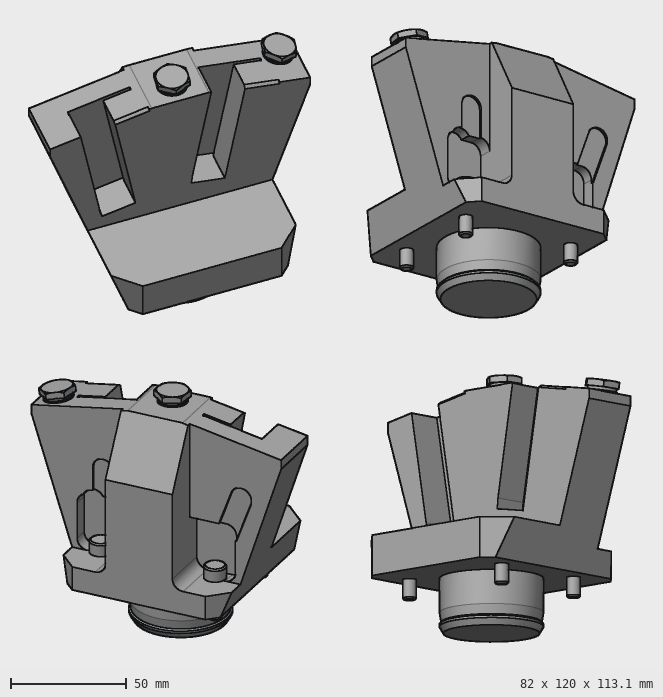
import cadquery as cq
import math

BASE_LENGTH = 82.0
BASE_HEIGHT = 17.8
BASE_HALF_WIDTH = 36.8
CORNER_REACH = 73.0

WALL_BACK_X = -24.0
WALL_FRONT_X = 1.9
TOP_Z = 83.9
TOP_FLAT_HALF_WIDTH = 13.2
ROOF_ANGLE = 10
SIDE_ANGLE = 18
OUTER_HALF_WIDTH = 60.0

LEDGE_Z = 11.2
RIB_WIDTH = 32.2
RIB_ROOT_RADIUS = 5.0
RIB_TOP_BACK_X = -25.5
RIB_SLOPE_START_Z = 56.9

POCKET_WIDTH = 22.0
POCKET_TOP_Z = 38.3
POCKET_DEPTH = 6.8
POCKET_LOBE_Y = 30.5
POCKET_LOBE_Z = 35.8
GROOVE_WIDTH = 10.1
GROOVE_DEPTH = 1.2
STRAIGHT_GROOVE_Y = 25.5
STRAIGHT_GROOVE_END_Z = 51.8
TILTED_GROOVE_Y = -40.7
TILTED_GROOVE_END_Z = 52.7
TILTED_GROOVE_ANGLE = -20

SLOT_STARTS = {1: 1.2, -1: -33.1}
SLOT_LENGTH = 28.9
SLOT_BACK_X = -13.8
SLOT_DEPTH = 54.7
SLOT_TAPER_HEIGHT = 4.8
SLOT_TAPER_WIDTH = 0.4
BLOCK_OFFSET = 16.0
BLOCK_BACK_X = -12.4
BEVEL_END_OFFSET = 32.0
BEVEL_WIDTH = 1.5
BEVEL_DROP = 1.1

SHANK_DIAMETER = 45.0
SHANK_LENGTH = 24.0
SHANK_STRAIGHT = 14.9
SHANK_NECK_START = 19.3
SHANK_NECK_RADIUS = 21.7
SHANK_BEAD_TOP = 20.0
SHANK_BEAD_BOTTOM = 21.1
SHANK_END_RADIUS = 20.8

SCREW_X = 22.5
SCREW_Y = 27.5
SCREW_DIAMETER = 6.0
SCREW_PROTRUSION = 8.8
SCREW_HEAD_DIAMETER = 10.0
SCREW_HEAD_HEIGHT = 6.0
SCREW_CHAMFER = 0.7

HEX_FLATS = 14.0
HEX_HEIGHT = 3.0
HEX_CHAMFER_HEIGHT = 0.5
HEX_NECK_DIAMETER = 12.6
HEX_NECK_HEIGHT = 2.2
HEX_COLLAR_DIAMETER = 13.5
HEX_COLLAR_HEIGHT = 0.7
CENTRE_HEX_X = -8.0
CENTRE_HEX_TURN = -7
SIDE_HEX_X = -14.9
SIDE_HEX_DISTANCE = 38.8
SIDE_HEX_TURN = -12

HALF_LENGTH = BASE_LENGTH / 2


def block(x_range, y_range, z_range):
    """Box between the given limits."""
    (x0, x1), (y0, y1), (z0, z1) = x_range, y_range, z_range
    return cq.Workplane("XY").box(x1 - x0, y1 - y0, z1 - z0, centered=False).translate((x0, y0, z0))


def place_on_roof(shape, side):
    """Move a shape from the origin to a roof ridge, with its Z axis normal to the roof face."""
    tilted = shape.rotate((0, 0, 0), (1, 0, 0), -side * ROOF_ANGLE)
    return tilted.translate((0, side * TOP_FLAT_HALF_WIDTH, TOP_Z))


def body():
    """Base, wall and rib: the end outline crossed with the side outline."""
    side_top_z = (OUTER_HALF_WIDTH - BASE_HALF_WIDTH) / math.tan(math.radians(SIDE_ANGLE))
    roof_run = OUTER_HALF_WIDTH - TOP_FLAT_HALF_WIDTH
    eave_z = TOP_Z - roof_run * math.tan(math.radians(ROOF_ANGLE))
    half_outline = [
        (BASE_HALF_WIDTH, 0),
        (OUTER_HALF_WIDTH, side_top_z),
        (OUTER_HALF_WIDTH, eave_z),
        (TOP_FLAT_HALF_WIDTH, TOP_Z),
    ]
    mirrored_half = [(-y, z) for y, z in reversed(half_outline)]
    end_prism = cq.Workplane("YZ").polyline(half_outline + mirrored_half).close()
    end_prism = end_prism.extrude(HALF_LENGTH, both=True)
    side_outline = [
        (-HALF_LENGTH, 0),
        (HALF_LENGTH, 0),
        (HALF_LENGTH, BASE_HEIGHT),
        (WALL_FRONT_X, BASE_HEIGHT),
        (WALL_FRONT_X, TOP_Z),
        (RIB_TOP_BACK_X, TOP_Z),
        (-HALF_LENGTH, RIB_SLOPE_START_Z),
    ]
    side_prism = cq.Workplane("XZ").polyline(side_outline).close().extrude(OUTER_HALF_WIDTH, both=True)
    return end_prism.intersect(side_prism)


def rib_clearance(side):
    """Space beside the rib, rounded where the rib meets the ledge."""
    inner, outer = sorted((side * RIB_WIDTH / 2, side * OUTER_HALF_WIDTH))
    space = block((-HALF_LENGTH, WALL_BACK_X), (inner, outer), (LEDGE_Z, TOP_Z))
    root = "<Y" if side > 0 else ">Y"
    return space.edges("|X").edges("<Z").edges(root).fillet(RIB_ROOT_RADIUS)


def corner_bevels():
    """Upright bevels at the four corners of the base."""
    leg = HALF_LENGTH + OUTER_HALF_WIDTH - CORNER_REACH
    triangle = [
        (HALF_LENGTH, OUTER_HALF_WIDTH),
        (HALF_LENGTH - leg, OUTER_HALF_WIDTH),
        (HALF_LENGTH, OUTER_HALF_WIDTH - leg),
    ]
    front_corner = cq.Workplane("XY").polyline(triangle).close().extrude(BASE_HEIGHT)
    rear_corner = front_corner.mirror("YZ").intersect(
        block((-HALF_LENGTH, WALL_BACK_X), (0, OUTER_HALF_WIDTH), (0, LEDGE_Z))
    )
    pair = front_corner.add(rear_corner).combine()
    return pair.add(pair.mirror("XZ")).combine()


def back_pocket(side):
    """Rounded screw pocket in the back of the wall; the -Y one has a square upper corner at the rib."""
    inner, outer = sorted((side * RIB_WIDTH / 2, side * (RIB_WIDTH / 2 + POCKET_WIDTH)))
    depth_x = (WALL_BACK_X, WALL_BACK_X + POCKET_DEPTH)
    pocket = block(depth_x, (inner, outer), (LEDGE_Z, POCKET_TOP_Z))
    pocket = pocket.edges("|X").fillet(RIB_ROOT_RADIUS)
    if side < 0:
        corner_y = (-RIB_WIDTH / 2 - RIB_ROOT_RADIUS, -RIB_WIDTH / 2)
        corner_z = (POCKET_TOP_Z - RIB_ROOT_RADIUS, POCKET_TOP_Z)
        pocket = pocket.union(block(depth_x, corner_y, corner_z))
    return pocket


def pocket_lobe():
    """Round enlargement at the top of the +Y pocket."""
    plane = cq.Workplane("YZ", origin=(WALL_BACK_X, POCKET_LOBE_Y, POCKET_LOBE_Z))
    return plane.circle(RIB_ROOT_RADIUS).extrude(POCKET_DEPTH)


def access_groove(end_y, end_z, angle):
    """Shallow round-ended groove running down into a pocket; end_y, end_z is its round's centre."""
    length = (end_z - POCKET_TOP_Z + RIB_ROOT_RADIUS) / math.cos(math.radians(angle))
    plane = cq.Workplane("YZ", origin=(WALL_BACK_X, end_y, end_z))
    strip = plane.center(0, -length / 2).rect(GROOVE_WIDTH, length).extrude(GROOVE_DEPTH)
    groove = strip.union(plane.circle(GROOVE_WIDTH / 2).extrude(GROOVE_DEPTH))
    return groove.rotate((0, end_y, end_z), (1, end_y, end_z), -angle)


def tool_slot(side):
    """Slot cut square to a roof face, leaving its clamping block standing."""
    start = SLOT_STARTS[side]
    end = start + SLOT_LENGTH
    outline = [
        (start, SLOT_DEPTH),
        (start, SLOT_TAPER_HEIGHT - SLOT_DEPTH),
        (start + SLOT_TAPER_WIDTH, -SLOT_DEPTH),
        (end, -SLOT_DEPTH),
        (end, SLOT_DEPTH),
    ]
    plane = cq.Workplane("YZ", origin=(SLOT_BACK_X, 0, 0))
    slot = plane.polyline(outline).close().extrude(WALL_FRONT_X - SLOT_BACK_X)
    clamping_block = block(
        (BLOCK_BACK_X, WALL_FRONT_X), (start + BLOCK_OFFSET, end), (-SLOT_DEPTH, SLOT_DEPTH)
    )
    return place_on_roof(slot.cut(clamping_block), side)


def block_bevel(side):
    """Bevel along the front top edge of the clamping block."""
    start = SLOT_STARTS[side]
    triangle = [(WALL_FRONT_X, 0), (WALL_FRONT_X - BEVEL_WIDTH, 0), (WALL_FRONT_X, -BEVEL_DROP)]
    plane = cq.Workplane("XZ", origin=(0, start + BLOCK_OFFSET, 0))
    bevel = plane.polyline(triangle).close().extrude(BLOCK_OFFSET - BEVEL_END_OFFSET)
    return place_on_roof(bevel, side)


def shank():
    """Turned shank with a tapered neck and a retaining bead."""
    radius = SHANK_DIAMETER / 2
    outline = [
        (0, 0),
        (radius, 0),
        (radius, -SHANK_STRAIGHT),
        (SHANK_NECK_RADIUS, -SHANK_NECK_START),
        (radius, -SHANK_BEAD_TOP),
        (radius, -SHANK_BEAD_BOTTOM),
        (SHANK_END_RADIUS, -SHANK_LENGTH),
        (0, -SHANK_LENGTH),
    ]
    return cq.Workplane("XZ").polyline(outline).close().revolve(360, (0, 0), (0, 1))


def screw_ends():
    """Ends of the four mounting screws below the base."""
    ends = cq.Workplane("XY").rect(2 * SCREW_X, 2 * SCREW_Y, forConstruction=True).vertices()
    ends = ends.circle(SCREW_DIAMETER / 2).extrude(-SCREW_PROTRUSION)
    return ends.faces("<Z").chamfer(SCREW_CHAMFER)


def screw_heads():
    """Heads of the two mounting screws on the ledge."""
    heads = cq.Workplane("XY", origin=(-SCREW_X, 0, LEDGE_Z)).pushPoints([(0, SCREW_Y), (0, -SCREW_Y)])
    heads = heads.circle(SCREW_HEAD_DIAMETER / 2).extrude(SCREW_HEAD_HEIGHT)
    return heads.faces(">Z").chamfer(SCREW_CHAMFER)


def hex_screw(turn):
    """Hexagonal screw head on a round neck with a collar, standing on the origin."""
    corner_diameter = HEX_FLATS / math.cos(math.radians(30))
    height = HEX_NECK_HEIGHT + HEX_HEIGHT
    head = cq.Workplane("XY", origin=(0, 0, HEX_NECK_HEIGHT)).polygon(6, corner_diameter).extrude(HEX_HEIGHT)
    corner_width = (corner_diameter - HEX_FLATS) / 2
    turned = cq.Workplane("XY").circle(corner_diameter / 2).extrude(height)
    turned = turned.faces(">Z").chamfer(HEX_CHAMFER_HEIGHT, corner_width)
    neck = cq.Workplane("XY").circle(HEX_NECK_DIAMETER / 2).extrude(HEX_NECK_HEIGHT)
    collar = cq.Workplane("XY").circle(HEX_COLLAR_DIAMETER / 2).extrude(HEX_COLLAR_HEIGHT)
    screw = head.intersect(turned).union(neck).union(collar)
    return screw.rotate((0, 0, 0), (0, 0, 1), turn)


result = body().cut(corner_bevels())
for side in (1, -1):
    result = result.cut(rib_clearance(side))
    result = result.cut(back_pocket(side))
    result = result.cut(tool_slot(side))
    result = result.cut(block_bevel(side))

result = result.cut(pocket_lobe())
result = result.cut(access_groove(STRAIGHT_GROOVE_Y, STRAIGHT_GROOVE_END_Z, 0))
result = result.cut(access_groove(TILTED_GROOVE_Y, TILTED_GROOVE_END_Z, TILTED_GROOVE_ANGLE))

result = result.union(shank()).union(screw_ends()).union(screw_heads())
result = result.union(hex_screw(CENTRE_HEX_TURN).translate((CENTRE_HEX_X, 0, TOP_Z)))
side_hex = hex_screw(SIDE_HEX_TURN).translate((SIDE_HEX_X, SIDE_HEX_DISTANCE, 0))
result = result.union(place_on_roof(side_hex, 1))